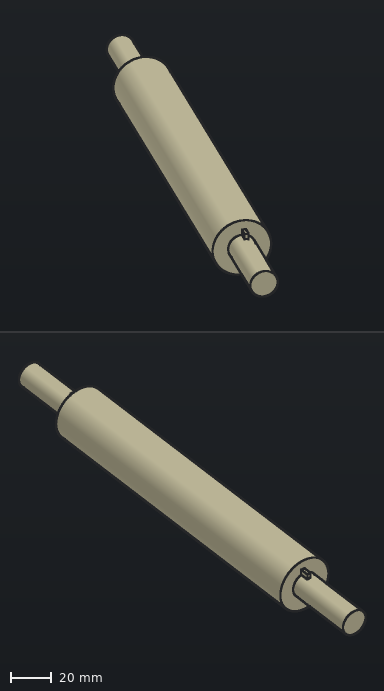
import cadquery as cq

total_length = 260
roller_length = 180.0
roller_diameter = 30.0
shaft_diameter = 14.0

key_projection = 5.0
key_width = 2.0
key_top = 10.0


def centered_cylinder(diameter, length):
    start_plane = cq.Workplane("YZ", origin=(-length / 2, 0, 0))
    return start_plane.circle(diameter / 2).extrude(length)


shaft = centered_cylinder(shaft_diameter, total_length)
roller = centered_cylinder(roller_diameter, roller_length)

key_length = roller_length + 2 * key_projection
keys = cq.Workplane("XY").center(0, key_width / 2).rect(key_length, key_width).extrude(key_top)

result = shaft.union(roller).union(keys)